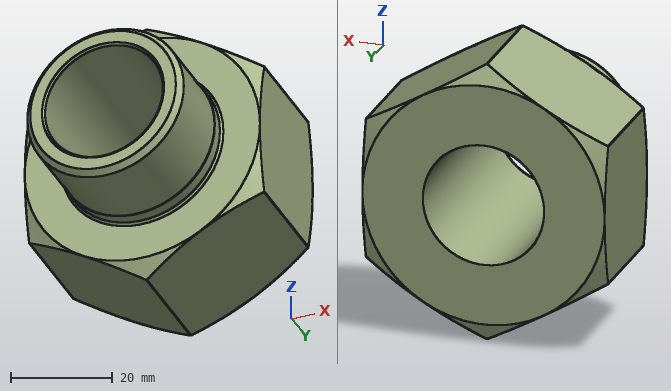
import cadquery as cq
import math

across_flats = 50.0
turned_diameter = 57.65
nut_length = 27.0
spigot_length = 20.0
spigot_diameter = 33.25
shoulder_diameter = 33.45
shoulder_length = 3.1
root_flare = 0.5
tip_chamfer_length = 1.25
tip_chamfer_depth = 1.15
bore_diameter = 25.0
bore_chamfer = 0.45
corner_chamfer_angle = 30.0

spigot_radius = spigot_diameter / 2
shoulder_radius = shoulder_diameter / 2
bore_radius = bore_diameter / 2
sharp_corner_diameter = across_flats / math.cos(math.pi / 6)
corner_radius = turned_diameter / 2
flat_radius = across_flats / 2
corner_chamfer_length = (corner_radius - flat_radius) * math.tan(math.radians(corner_chamfer_angle))

tip_y = -spigot_length


def revolve_about_y(points):
    """Turn a closed (radius, y) outline around the Y axis."""
    return cq.Workplane("XY").polyline(points).close().revolve(360, (0, 0, 0), (0, 1, 0))


def make_nut():
    """Hexagon with corners on Z, lightly turned along the corners and coned at both ends."""
    hexagon = (
        cq.Workplane("XZ")
        .polygon(6, sharp_corner_diameter)
        .extrude(-nut_length)
        .rotate((0, 0, 0), (0, 1, 0), 90)
    )
    turned_envelope = revolve_about_y([
        (0, 0),
        (flat_radius, 0),
        (corner_radius, corner_chamfer_length),
        (corner_radius, nut_length - corner_chamfer_length),
        (flat_radius, nut_length),
        (0, nut_length),
    ])
    return hexagon.intersect(turned_envelope)


def make_spigot():
    """Chamfered pipe end with a slightly larger shoulder flaring into the nut."""
    return revolve_about_y([
        (0, 0),
        (shoulder_radius + root_flare, 0),
        (shoulder_radius, -root_flare),
        (shoulder_radius, -shoulder_length),
        (spigot_radius, -shoulder_length),
        (spigot_radius, tip_y + tip_chamfer_length),
        (spigot_radius - tip_chamfer_depth, tip_y),
        (0, tip_y),
    ])


def make_bore():
    """Through bore with a small chamfer at the spigot mouth."""
    return revolve_about_y([
        (0, tip_y),
        (bore_radius + bore_chamfer, tip_y),
        (bore_radius, tip_y + bore_chamfer),
        (bore_radius, nut_length),
        (0, nut_length),
    ])


result = make_nut().union(make_spigot()).cut(make_bore())